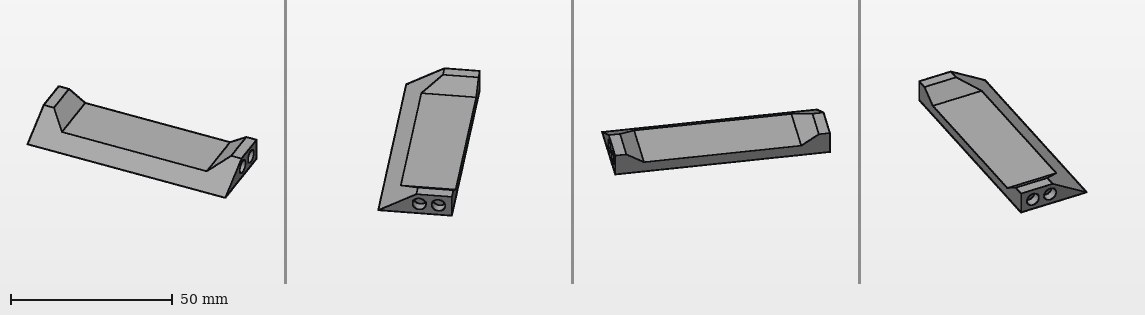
import cadquery as cq

length = 67.5
depth = 23.0
height = 7.2
top_depth = 11.1

floor_height = 3.6
end_top_width = 3.5
end_foot_width = 9.05

pocket_diameter = 4.2
pocket_depth = 3.0
pocket_height = height / 2
pocket_back_offset = 4.2
pocket_spacing = 6.0


def wedge_block():
    """Wedge profile in YZ, extruded along the length and centred on X."""
    profile = [(0, 0), (depth, 0), (depth, height), (depth - top_depth, height)]
    return cq.Workplane("YZ").polyline(profile).close().extrude(length / 2, both=True)


def recess():
    """Trapezoidal channel with sloped ends, running through front to back."""
    half_top = length / 2 - end_top_width
    half_foot = length / 2 - end_foot_width
    profile = [
        (-half_foot, floor_height),
        (half_foot, floor_height),
        (half_top, height),
        (-half_top, height),
    ]
    return cq.Workplane("XZ").polyline(profile).close().extrude(-depth)


def end_pocket(side, y):
    """Pocket cut inward from the end face on the given side (-1 or +1)."""
    return (
        cq.Workplane("YZ", origin=(side * length / 2, y, pocket_height))
        .circle(pocket_diameter / 2)
        .extrude(-side * pocket_depth)
    )


result = wedge_block().cut(recess())
for side in (-1, 1):
    for index in range(2):
        y = depth - pocket_back_offset - index * pocket_spacing
        result = result.cut(end_pocket(side, y))